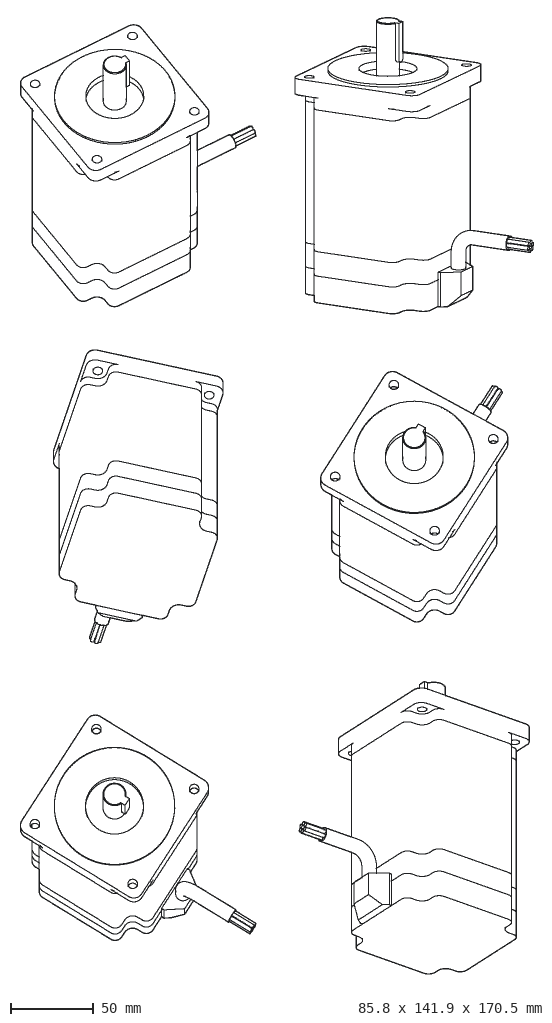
import cadquery as cq
import math

frame_width = 85.8
half_width = frame_width / 2
shoulder_radius = 4.8
scoop_radius = 5.8
mount_offset = 35.0
scoop_wall = mount_offset - scoop_radius

rear_cover_top = 16.9
spacer_top = 32.2
stator_top = 121.2
plate_bottom = 128.7
plate_top = 138.8
pilot_top = 140.3
shaft_top = 170.5

plate_corner_radius = 5.6
pilot_radius = 36.5
recess_radius = 17.5
recess_depth = 5.0
recess_floor = pilot_top - recess_depth
mount_hole_radius = 2.9

shaft_radius = 7.0
shaft_chamfer = 0.5
key_width = 5.0
key_reach = 9.0
key_bottom = 145.5

outlet_depth = 12
outlet_height = 21.7
outlet_base_width = 29.3
outlet_base_step = 1.7
outlet_tip_width = 14.7
outlet_bottom_chamfer = 6.8
outlet_back = half_width + outlet_depth

cable_radius = 4.5
cable_y = 49.0
bend_radius = 10.0
bend_start_z = 31.9
cable_run_z = bend_start_z + bend_radius
sheath_end_y = 84.2
overall_depth = 141.9
wire_end_y = overall_depth - half_width
wire_count = 6
wire_radius = 1.2
wire_circle_radius = 2.5
wire_start_angle = 44


def box_prism(width, bottom, top):
    """Square prism centred on the Z axis between two levels."""
    return cq.Workplane("XY").workplane(offset=bottom).rect(width, width).extrude(top - bottom)


def disc(radius, bottom, top):
    """Cylinder on the Z axis between two levels."""
    return cq.Workplane("XY").workplane(offset=bottom).circle(radius).extrude(top - bottom)


def at_corners(offset, bottom):
    """Workplane with a point in each corner, at the same offset from the Z axis along X and along Y."""
    spacing = 2 * offset
    return cq.Workplane("XY").workplane(offset=bottom).rect(spacing, spacing, forConstruction=True).vertices()


def frame_section(bottom, top):
    """Slice of the motor frame: notched corners, rounded shoulders and a concave scoop in each notch."""
    notch_size = half_width - scoop_wall
    notch_centre = scoop_wall + notch_size / 2
    notches = at_corners(notch_centre, bottom).rect(notch_size, notch_size).extrude(top - bottom)
    cross = box_prism(frame_width, bottom, top).cut(notches)
    return (
        cross.edges("|Z").edges("not (>X or <X or >Y or <Y)").fillet(scoop_radius)
        .edges("|Z").edges(">X or <X or >Y or <Y").fillet(shoulder_radius)
    )


def build_flange():
    """Mounting plate with its pilot boss, shaft recess, screw holes and the frame slice below it."""
    plate = box_prism(frame_width, plate_bottom, plate_top).edges("|Z").fillet(plate_corner_radius)
    holes = at_corners(mount_offset, plate_bottom).circle(mount_hole_radius).extrude(plate_top - plate_bottom)
    return (
        frame_section(stator_top, plate_bottom)
        .union(plate.cut(holes))
        .union(disc(pilot_radius, plate_top, pilot_top))
        .cut(disc(recess_radius, recess_floor, pilot_top))
    )


def build_shaft():
    """Output shaft standing on the recess floor, with a key whose lower end is round."""
    rod = disc(shaft_radius, recess_floor, shaft_top).faces(">Z").chamfer(shaft_chamfer)
    half_key = key_width / 2
    key = (
        cq.Workplane("XZ")
        .moveTo(-half_key, shaft_top)
        .lineTo(-half_key, key_bottom + half_key)
        .threePointArc((0, key_bottom), (half_key, key_bottom + half_key))
        .lineTo(half_key, shaft_top)
        .close()
        .extrude(-key_reach)
    )
    return rod.union(key)


def build_cable_outlet():
    """Tapered block on the +Y side with a sloped lower back edge."""
    half_base = outlet_base_width / 2
    half_tip = outlet_tip_width / 2
    step_y = half_width + outlet_base_step
    return (
        cq.Workplane("XY")
        .polyline([
            (-half_base, half_width),
            (-half_base, step_y),
            (-half_tip, outlet_back),
            (half_tip, outlet_back),
            (half_base, step_y),
            (half_base, half_width),
        ])
        .close()
        .extrude(outlet_height)
        .faces(">Y").edges("<Z").chamfer(outlet_bottom_chamfer)
    )


def build_cable():
    """Round sheath swept along a rise, a quarter bend and a straight run, with the wires at its end."""
    bend_end_y = cable_y + bend_radius
    bend_mid = bend_radius * (1 - math.sqrt(0.5))
    path = (
        cq.Workplane("YZ")
        .moveTo(cable_y, outlet_height)
        .lineTo(cable_y, bend_start_z)
        .threePointArc((cable_y + bend_mid, cable_run_z - bend_mid), (bend_end_y, cable_run_z))
        .lineTo(sheath_end_y, cable_run_z)
    )
    cable = (
        cq.Workplane("XY", origin=(0, cable_y, outlet_height))
        .circle(cable_radius)
        .sweep(path)
    )
    wire_length = wire_end_y - sheath_end_y
    for index in range(wire_count):
        angle = math.radians(wire_start_angle + 360 * index / wire_count)
        wire_x = wire_circle_radius * math.cos(angle)
        wire_z = cable_run_z + wire_circle_radius * math.sin(angle)
        wire = (
            cq.Workplane("XZ", origin=(wire_x, sheath_end_y, wire_z))
            .circle(wire_radius)
            .extrude(-wire_length)
        )
        cable = cable.union(wire)
    return cable


flange = build_flange()
stator = frame_section(spacer_top, stator_top)
spacer = frame_section(rear_cover_top, spacer_top)
rear_cover = frame_section(0, rear_cover_top)
shaft = build_shaft()
cable_outlet = build_cable_outlet()
cable = build_cable()

result = cq.Compound.makeCompound([
    flange.val(),
    stator.val(),
    spacer.val(),
    rear_cover.val(),
    shaft.val(),
    cable_outlet.val(),
    cable.val(),
])